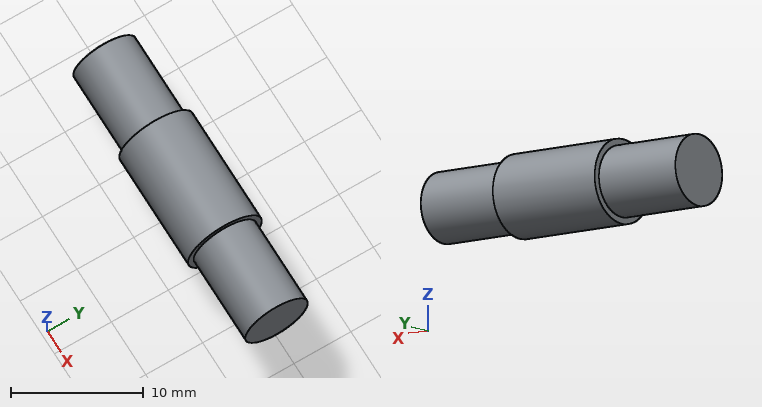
import cadquery as cq

total_length = 25.0
collar_length = 10.0
collar_diameter = 6.5
shoulder_height = 0.5

pin_end = total_length / 2
collar_end = collar_length / 2
collar_radius = collar_diameter / 2
journal_radius = collar_radius - shoulder_height

half_section = (
    cq.Workplane("XZ")
    .moveTo(-pin_end, 0)
    .lineTo(-pin_end, journal_radius)
    .lineTo(-collar_end, journal_radius)
    .lineTo(-collar_end, collar_radius)
    .lineTo(collar_end, collar_radius)
    .lineTo(collar_end, journal_radius)
    .lineTo(pin_end, journal_radius)
    .lineTo(pin_end, 0)
    .close()
)

result = half_section.revolve(360, (0, 0, 0), (1, 0, 0))